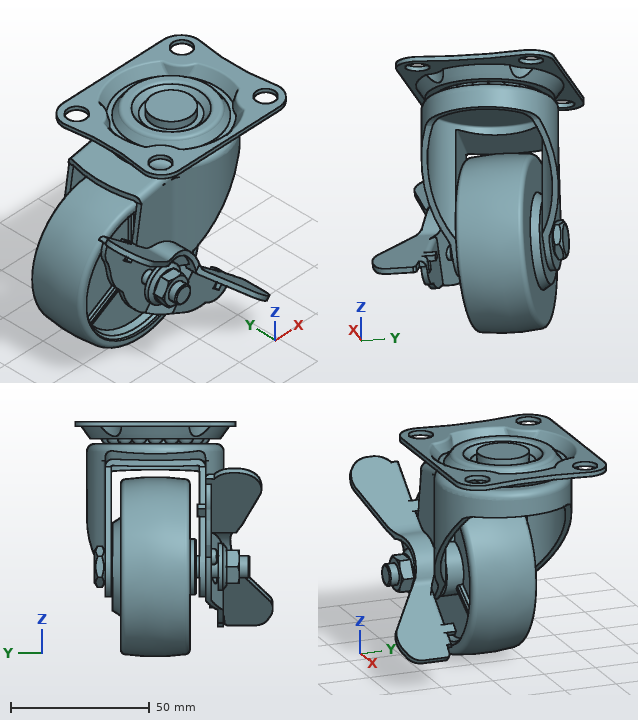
import cadquery as cq
import math


plate_length = 70.0
plate_width = 58.0
sheet = 1.7
plate_corner_radius = 8.8
plate_side_dip = 1.7
side_dip_half = 6.8
side_blend_radius = 19.3
bolt_hole_diameter = 8.9
bolt_pitch_x = 54.9
bolt_pitch_y = 42.0
dish_top_radius = 26.6
dish_floor_radius = 23.45
dish_depth = 4.5
dish_notch_radius = 10.8
dish_corner_radius = 1.4
dish_outer_radius = 26.7
dish_heel_radius = 24.6
dish_heel_height = 1.5
floor_opening_radius = 21.2
dish_rim_round = 1.1
notch_wall_slope = 0.25
notch_depth = 7.7

stud_radius = 9.5
stud_top = -0.4
cup_floor = -3.9
cup_floor_radius = 11.8
dome_top = -0.6
race_top = -2.6
race_inner_radius = 14.2
race_outer_radius = 20.0
ball_count = 18
ball_radius = 2.8
ball_circle_radius = 17.1
ball_height = -5.6

fork_top = -8.0
fork_wall = 2.2
cup_radius = 24.8
cup_lip_height = -17.2
fork_round = 2.9
leg_bend_radius = 4.6
leg_bend_top = -14.1
leg_half_width = 18.1
roof_angle = 10.6
roof_end_radius = 64.5
roof_end_x = -37.3
boss_radius = 10.9

axle_x = -29.0
axle_z = -52.5
wheel_radius = 32.5
tread_edge_radius = 31.75
tread_round = 1.9
wheel_half_width = 12.5
axle_radius = 4.1
hub_end = -14.9
hub_radius = 10.1
hub_round = 0.7
disc_face = -7.7
disc_radius = 26.15
collar_end = 15.5
collar_radius = 15.8
collar_foot_radius = 17.8
rib_count = 3
rib_width = 2.7
rib_top = -9.8
rib_bevel = 0.7
rib_overlap = 0.5
axle_end = -34.1
axle_tip_bevel = 0.5
head_across_corners = 15.0
head_outer = 22.0
head_bevel_depth = 1.7
head_bevel_height = 1.2
nut_across_corners = 13.9
nut_outer = -30.4
nut_bevel_depth = 0.9
nut_bevel_height = 0.5
washer_inner = -22.8
washer_rim = -24.4
washer_outer = -25.8
washer_radius = 8.5
washer_top_radius = 6.8

lever_angle = 38.5
lever_sheet = 2.1
flange_top = 9.8
flange_end = 44.8
bend_radius = 1.7
left_bend_middle = -28.95
right_bend_middle = 24.1
hump_radius = 14.8
left_foot_radius = 7.7
right_foot_radius = 3.9
step_start = 3.2
step_end = 12.8
step_height = 4.3
gusset_angle = 15.0
gusset_start = 5.5
gusset_rise = 6.0
gusset_foot = 2.3
dimple_radius = 2.9
dimple_height = 1.9
dimple_offset = 5.9
dimple_round = 1.2
left_tab_span = (-24.0, -19.4)
right_tab_span = (29.9, 33.5)
tab_reach = 2.9
window_bottom = 3.3
window_outer = -25.1

big = 115.8
leg_bottom = axle_z - 2 * boss_radius


def axle_plane(y):
    """Plane across the wheel axle at the given Y, facing -Y."""
    return cq.Plane(origin=(axle_x, y, axle_z), xDir=(1, 0, 0), normal=(0, -1, 0))


def turned(outline):
    """Revolve a closed (radius, height) outline about the Z axis."""
    return outline.close().revolve(360, (0, 0, 0), (0, 1, 0))


def about_axle(outline):
    """Revolve a closed (Y, radius) outline about Y and move it onto the wheel axle."""
    ring = outline.close().revolve(360, (0, 0, 0), (1, 0, 0))
    return ring.rotate((0, 0, 0), (0, 0, 1), 90).translate((axle_x, 0, axle_z))


def plate_blank():
    """Flat plate with large round corners and dipped short sides."""
    half_x = plate_length / 2
    half_y = plate_width / 2
    waist_x = half_x - plate_side_dip
    corner_y = half_y - plate_corner_radius
    corner_x = half_x - plate_corner_radius
    diagonal = plate_corner_radius * math.sqrt(0.5)

    right_side = (
        cq.Workplane("XY")
        .moveTo(0, -half_y)
        .lineTo(corner_x, -half_y)
        .threePointArc((corner_x + diagonal, -corner_y - diagonal), (half_x, -corner_y))
        .lineTo(waist_x, -side_dip_half)
        .lineTo(waist_x, side_dip_half)
        .lineTo(half_x, corner_y)
        .threePointArc((corner_x + diagonal, corner_y + diagonal), (corner_x, half_y))
        .lineTo(0, half_y)
        .close()
        .extrude(-sheet)
    )
    blend_box = cq.selectors.BoxSelector(
        (waist_x - 0.1, -half_y / 2, -sheet), (waist_x + 0.1, half_y / 2, 0)
    )
    right_side = right_side.edges("|Z").edges(blend_box).fillet(side_blend_radius)
    return right_side.union(right_side.mirror("YZ"))


def corner_posts(radius):
    """Vertical cylinders on the four bolt hole axes."""
    return (
        cq.Workplane("XY")
        .workplane(offset=-big / 2)
        .rect(bolt_pitch_x, bolt_pitch_y, forConstruction=True)
        .vertices()
        .circle(radius)
        .extrude(big)
    )


def notch_posts(inset):
    """Posts that widen downward and press notches into the dish around the bolt holes."""
    posts = cq.Workplane("XY")
    down = cq.Vector(0, 0, -1)
    top_radius = dish_notch_radius - inset
    bottom_radius = top_radius + notch_wall_slope * notch_depth
    for x in (-bolt_pitch_x / 2, bolt_pitch_x / 2):
        for y in (-bolt_pitch_y / 2, bolt_pitch_y / 2):
            post = cq.Solid.makeCone(top_radius, bottom_radius, notch_depth, cq.Vector(x, y, 0), down)
            posts = posts.add(post)
    return posts


def dish_void():
    """Hollow of the dish, with a rounded notch at each bolt hole."""
    void = turned(
        cq.Workplane("XZ")
        .moveTo(0, 0)
        .lineTo(dish_top_radius, 0)
        .lineTo(dish_floor_radius, -dish_depth)
        .lineTo(0, -dish_depth)
    )
    for post in notch_posts(0).vals():
        void = void.cut(cq.Workplane(post))

    middle_radius = (dish_top_radius + dish_floor_radius) / 2
    middle_notch = dish_notch_radius + notch_wall_slope * dish_depth / 2
    hole_distance = math.hypot(bolt_pitch_x, bolt_pitch_y) / 2
    hole_angle = math.atan2(bolt_pitch_y, bolt_pitch_x)
    spread = math.acos(
        (hole_distance ** 2 + middle_radius ** 2 - middle_notch ** 2) / (2 * hole_distance * middle_radius)
    )
    for diagonal in (hole_angle, math.pi - hole_angle, math.pi + hole_angle, -hole_angle):
        for angle in (diagonal - spread, diagonal + spread):
            corner = (middle_radius * math.cos(angle), middle_radius * math.sin(angle), -dish_depth / 2)
            void = void.edges(cq.selectors.NearestToPointSelector(corner)).fillet(dish_corner_radius)
    return void


def dish_shell():
    """Outside of the dish, below the flat plate."""
    bottom = -dish_depth - sheet
    shell = turned(
        cq.Workplane("XZ")
        .moveTo(0, -sheet)
        .lineTo(dish_outer_radius, -sheet)
        .lineTo(dish_heel_radius, bottom + dish_heel_height)
        .lineTo(dish_floor_radius, bottom)
        .lineTo(0, bottom)
    )
    for post in notch_posts(sheet).vals():
        shell = shell.cut(cq.Workplane(post))
    return shell


def bearing_dome():
    """Raised ring that covers the balls, with a cup around the stud."""
    dome_bottom = -dish_depth - sheet
    outer_foot = floor_opening_radius + 0.2
    return turned(
        cq.Workplane("XZ")
        .moveTo(stud_radius, cup_floor)
        .lineTo(cup_floor_radius, cup_floor)
        .lineTo(14.4, -1.4)
        .threePointArc((14.9, -0.9), (15.6, dome_top))
        .lineTo(17.5, dome_top)
        .threePointArc((18.6, -0.9), (19.3, -1.7))
        .lineTo(outer_foot, -dish_depth)
        .lineTo(outer_foot, dome_bottom)
        .lineTo(race_outer_radius, dome_bottom)
        .lineTo(race_outer_radius, -4.3)
        .lineTo(race_outer_radius - 1.4, race_top)
        .lineTo(race_inner_radius + 1.3, race_top)
        .lineTo(race_inner_radius, -4.4)
        .lineTo(race_inner_radius, -5.7)
        .lineTo(stud_radius, -5.7)
    )


def make_plate():
    opening = cq.Workplane("XY").circle(floor_opening_radius).extrude(-big)
    plate = plate_blank().union(dish_shell()).cut(dish_void())
    reach = dish_top_radius + 0.5
    rim = cq.selectors.BoxSelector((-reach, -reach, -0.1), (reach, reach, 0.1))
    plate = plate.edges(rim).fillet(dish_rim_round)
    plate = plate.cut(opening).union(bearing_dome())
    return plate.cut(corner_posts(bolt_hole_diameter / 2))


def cup_body(inset):
    """Round cup of the fork, shrunk by `inset` on its top and sides."""
    top = fork_top - inset
    cup = cq.Workplane("XY").workplane(offset=top).circle(cup_radius - inset).extrude(leg_bottom - top)
    return cup.faces(">Z").edges().fillet(max(fork_round - inset, 0.5))


def arm_body(inset):
    """Box with a sloping roof that spans both legs, shrunk by `inset`."""
    slope = math.tan(math.radians(roof_angle))
    drop = inset / math.cos(math.radians(roof_angle))
    front_x = -42.5
    back_x = -9.65
    roof_back = -8.8 - drop
    roof_front = roof_back - slope * (back_x - front_x)
    half_width = leg_half_width - inset
    arm = (
        cq.Workplane("XZ")
        .polyline([(front_x, roof_front), (back_x, roof_back), (back_x, leg_bottom), (front_x, leg_bottom)])
        .close()
        .extrude(half_width, both=True)
    )
    roof_edges = cq.selectors.BoxSelector(
        (front_x, -half_width - 1, roof_front - 1), (back_x, half_width + 1, roof_back + 1)
    )
    return arm.edges(roof_edges).edges("not |Y").edges("not |Z").fillet(max(fork_round - inset, 0.5))


def leg_bends():
    """Column whose rounded inner corners lead each flat leg into the round cup."""
    height = leg_bend_top - leg_bottom
    column = cq.Workplane("XY").workplane(offset=leg_bend_top).circle(cup_radius).extrude(-height)
    flat_part = cq.Workplane("XY").box(13.5, 2 * leg_half_width, height, centered=(False, True, False))
    column = column.union(flat_part.translate((-23.2, 0, leg_bottom)))
    bend_x = -math.sqrt(cup_radius ** 2 - leg_half_width ** 2)
    for side in (-1, 1):
        corner = (bend_x, side * leg_half_width, (leg_bend_top + leg_bottom) / 2)
        column = column.edges("|Z").edges(cq.selectors.NearestToPointSelector(corner)).fillet(leg_bend_radius)
    return column


def fork_side_outline():
    """Prism along Y that trims the fork to its side shape."""
    def on_boss(degrees):
        angle = math.radians(degrees)
        return (axle_x + boss_radius * math.cos(angle), axle_z + boss_radius * math.sin(angle))

    return (
        cq.Workplane("XZ")
        .moveTo(-42.5, fork_top)
        .lineTo(26.1, fork_top)
        .lineTo(26.1, cup_lip_height)
        .lineTo(17.9, -17.9)
        .threePointArc((15.3, -18.3), (13.0, -19.6))
        .lineTo(*on_boss(-40.3))
        .threePointArc(on_boss(-115), on_boss(171))
        .lineTo(-34.4, -16.4)
        .lineTo(-42.5, -16.4)
        .close()
        .extrude(big, both=True)
    )


def roof_end_trim():
    """Everything beyond the bowed front end of the roof."""
    roof_zone = cq.Workplane("XY").box(14.5, big, 9.65, centered=(False, True, False))
    roof_zone = roof_zone.translate((-43.4, 0, -16.4))
    bow = (
        cq.Workplane("XY")
        .workplane(offset=-big)
        .center(roof_end_x + roof_end_radius, 0)
        .circle(roof_end_radius)
        .extrude(big)
    )
    return roof_zone.cut(bow)


def make_fork():
    outside = cup_body(0).union(arm_body(0)).union(leg_bends())
    inside = cup_body(fork_wall).union(arm_body(fork_wall))
    fork = outside.cut(inside).intersect(fork_side_outline()).cut(roof_end_trim())

    stud_foot = fork_top - 1
    stud = cq.Workplane("XY").workplane(offset=stud_foot).circle(stud_radius).extrude(stud_top - stud_foot)
    fork = fork.union(stud)
    for i in range(ball_count):
        angle = 2 * math.pi * i / ball_count
        x = ball_circle_radius * math.cos(angle)
        y = ball_circle_radius * math.sin(angle)
        fork = fork.union(cq.Workplane("XY").sphere(ball_radius).translate((x, y, ball_height)))

    axle_hole = cq.Workplane(axle_plane(0)).circle(axle_radius).extrude(big, both=True)
    return fork.cut(axle_hole)


def make_wheel():
    side = wheel_half_width
    corner_y = tread_round - side
    corner_r = tread_edge_radius - tread_round
    diagonal = tread_round * math.sqrt(0.5)
    wheel = about_axle(
        cq.Workplane("XY")
        .moveTo(hub_end, axle_radius)
        .lineTo(hub_end, hub_radius - hub_round)
        .lineTo(hub_end + hub_round, hub_radius)
        .lineTo(disc_face, hub_radius)
        .lineTo(disc_face, disc_radius)
        .lineTo(-10.6, 27.0)
        .lineTo(-11.8, 28.0)
        .lineTo(-side, 28.3)
        .lineTo(-side, corner_r)
        .threePointArc((corner_y - diagonal, corner_r + diagonal), (corner_y, tread_edge_radius))
        .threePointArc((0, wheel_radius), (-corner_y, tread_edge_radius))
        .threePointArc((diagonal - corner_y, corner_r + diagonal), (side, corner_r))
        .lineTo(side, collar_foot_radius)
        .lineTo(collar_end, collar_radius)
        .lineTo(collar_end, axle_radius)
    )
    rib_length = disc_radius - hub_radius + 2 * rib_overlap
    rib_depth = disc_face - rib_top + 1
    rib = (
        cq.Workplane(axle_plane(disc_face + 1))
        .center(0, hub_radius - rib_overlap + rib_length / 2)
        .rect(rib_width, rib_length)
        .extrude(rib_depth)
        .edges("<Y and |Z")
        .chamfer(rib_bevel)
    )
    for i in range(rib_count):
        wheel = wheel.union(rib.rotate((axle_x, 0, axle_z), (axle_x, 1, axle_z), 360 * i / rib_count))
    return wheel


def bevel_cone(inner_y, outer_y, across_corners, depth, height):
    """Turned envelope that bevels a hexagon's corners at its outer end.

    The bevel takes `depth` off the radius over `height` of the length.
    """
    radius = across_corners / 2
    direction = math.copysign(1, outer_y - inner_y)
    return about_axle(
        cq.Workplane("XY")
        .moveTo(inner_y, 0)
        .lineTo(inner_y, radius)
        .lineTo(outer_y - direction * height, radius)
        .lineTo(outer_y, radius - depth)
        .lineTo(outer_y, 0)
    )


def make_axle_bolt():
    head_inner = leg_half_width
    head = (
        cq.Workplane(axle_plane(head_outer))
        .transformed(rotate=(0, 0, 90))
        .polygon(6, head_across_corners)
        .extrude(head_outer - head_inner)
    )
    for start, end in ((head_inner, head_outer), (head_outer, head_inner)):
        envelope = bevel_cone(start, end, head_across_corners, head_bevel_depth, head_bevel_height)
        head = head.intersect(envelope)
    shank = cq.Workplane(axle_plane(head_outer - 1)).circle(axle_radius).extrude(head_outer - 1 - axle_end)
    shank = shank.faces("<Y").chamfer(axle_tip_bevel)
    return head.union(shank)


def make_nut():
    washer = about_axle(
        cq.Workplane("XY")
        .moveTo(washer_inner, 0)
        .lineTo(washer_inner, washer_radius)
        .lineTo(washer_rim, washer_radius)
        .lineTo(washer_outer, washer_top_radius)
        .lineTo(washer_outer, 0)
    )
    hexagon = cq.Workplane(axle_plane(washer_inner)).polygon(6, nut_across_corners)
    hexagon = hexagon.extrude(washer_inner - nut_outer)
    envelope = bevel_cone(washer_inner, nut_outer, nut_across_corners, nut_bevel_depth, nut_bevel_height)
    bore = cq.Workplane(axle_plane(0)).circle(axle_radius).extrude(big)
    return washer.union(hexagon.intersect(envelope)).cut(bore)


web_inner = -leg_half_width
web_outer = web_inner - lever_sheet
flange_bottom = flange_top - lever_sheet


def lever_plane(y):
    """Tilted plane across the axle at the given Y, facing -Y."""
    tilt = math.radians(lever_angle)
    return cq.Plane(
        origin=(axle_x, y, axle_z), xDir=(math.cos(tilt), 0, -math.sin(tilt)), normal=(0, -1, 0)
    )


def handle_plane():
    """Plane of the handles through the axle: along the handles, then +Y."""
    frame = lever_plane(0)
    return cq.Plane(origin=(axle_x, 0, axle_z), xDir=frame.xDir.toTuple(), normal=frame.yDir.toTuple())


def lever_block(u_from, u_to, v_from, v_to, y_from, y_to):
    """Block in the lever frame that spans the given ranges, from y_from out to y_to."""
    return (
        cq.Workplane(lever_plane(y_from))
        .center((u_from + u_to) / 2, (v_from + v_to) / 2)
        .rect(u_to - u_from, v_to - v_from)
        .extrude(y_from - y_to)
    )


def stepped_prism(thickness):
    """Layer of the given thickness whose inner face steps outward between the bend lines."""
    inner = [
        (-big, web_inner), (step_start, web_inner),
        (step_end, web_inner - step_height), (big, web_inner - step_height),
    ]
    outer = [(u, y - thickness) for u, y in reversed(inner)]
    return cq.Workplane(handle_plane()).polyline(inner + outer).close().extrude(big, both=True)


def lever_web():
    """Upright sheet of the lever, with lobes at both ends and a belly around the axle."""
    outline = (
        cq.Workplane(lever_plane(0))
        .moveTo(-38.1, flange_top)
        .lineTo(-38.1, 7.3)
        .threePointArc((-36.5, 3.4), (-32.4, 0.6))
        .lineTo(-29.0, -1.8)
        .threePointArc((-25.5, -4.8), (-21.5, -6.9))
        .lineTo(-15.7, -8.0)
        .threePointArc((-2.4, -13.2), (12.7, -9.7))
        .lineTo(19.0, -8.3)
        .threePointArc((24.9, -6.0), (29.3, -2.4))
        .threePointArc((34.8, 0.1), (37.0, 6.0))
        .lineTo(37.9, flange_top)
        .close()
        .extrude(big)
    )
    hump = cq.Workplane(lever_plane(0)).circle(hump_radius).extrude(big)
    hump = hump.cut(lever_block(-big, big, -big, 0, 0, -big))
    return outline.union(hump).intersect(stepped_prism(lever_sheet))


def flange_band():
    """Bent strip of the two handles, with the hump over the nut, extruded along -Y."""
    strip = lever_block(-flange_end, flange_end, flange_bottom, flange_top, 0, -big / 2)
    hump = cq.Workplane(lever_plane(0)).circle(hump_radius).extrude(big / 2)
    hump = hump.cut(lever_block(-big, big, -big, flange_bottom, 0, -big / 2))
    hollow = cq.Workplane(lever_plane(0)).circle(hump_radius - lever_sheet).extrude(big / 2)
    band = strip.union(hump).cut(hollow)
    foot = math.sqrt(hump_radius ** 2 - flange_top ** 2)
    for side, foot_radius in ((-1, left_foot_radius), (1, right_foot_radius)):
        corner = lever_plane(-big / 4).toWorldCoords((side * foot, flange_top))
        band = band.edges(cq.selectors.NearestToPointSelector(corner.toTuple())).fillet(foot_radius)
    return band


def flange_outline():
    """Flat shape of the two handles, joined by the neck over the nut."""
    return (
        cq.Workplane(handle_plane())
        .moveTo(-41.5, web_inner)
        .lineTo(-41.2, -21.2)
        .threePointArc((-44.0, -24.3), (-44.8, -28.6))
        .threePointArc((-42.75, -35.0), (-37.25, -38.1))
        .threePointArc((-34.7, -38.4), (-32.2, -37.9))
        .lineTo(-14.3, -31.3)
        .threePointArc((-1.9, -27.3), (9.5, -28.2))
        .lineTo(30.0, -41.7)
        .threePointArc((35.2, -42.5), (39.9, -40.9))
        .threePointArc((43.0, -38.5), (43.9, -35.2))
        .lineTo(43.9, -26.1)
        .lineTo(43.0, -25.1)
        .lineTo(38.6, -24.7)
        .lineTo(38.6, web_inner)
        .close()
        .extrude(big)
    )


def lever_flange():
    """Handles and hump, kept on the outer side of the stepped web."""
    return flange_band().intersect(flange_outline()).intersect(stepped_prism(big))


def gusset():
    """Sloping web that stiffens the corner under the hump."""
    angle = math.radians(gusset_angle)
    toward_hump = cq.Plane(
        origin=(axle_x, 0, axle_z),
        xDir=(math.cos(angle), 0, math.sin(angle)),
        normal=(-math.sin(angle), 0, math.cos(angle)),
    )
    slope = (
        cq.Workplane(toward_hump)
        .polyline([
            (gusset_start, web_inner), (gusset_start, web_outer),
            (hump_radius, web_outer - gusset_rise), (hump_radius, web_inner),
        ])
        .close()
        .extrude(big, both=True)
    )
    corner = cq.Workplane(lever_plane(0)).circle(hump_radius - lever_sheet + 0.5).extrude(big / 2)
    below = cq.Workplane(axle_plane(0)).center(0, gusset_foot - big / 2).rect(big, big).extrude(big)
    return slope.intersect(corner).cut(below).intersect(stepped_prism(big))


def make_lever():
    lever = lever_web().union(lever_flange())
    for u, step in ((left_bend_middle, 0), (right_bend_middle, step_height)):
        back_edge = lever_plane(web_inner - step).toWorldCoords((u, flange_top))
        lever = lever.edges(cq.selectors.NearestToPointSelector(back_edge.toTuple())).fillet(bend_radius)
    lever = lever.union(gusset())
    for span, step in ((left_tab_span, 0), (right_tab_span, step_height)):
        tab_inner = web_inner - step + tab_reach
        tab_outer = web_outer - step
        lever = lever.cut(lever_block(*span, window_bottom, flange_bottom, 0, window_outer))
        lever = lever.union(lever_block(*span, flange_bottom, flange_top, tab_inner, tab_outer))
    for side in (-1, 1):
        dimple = (
            cq.Workplane(lever_plane(web_inner - 1))
            .center(side * dimple_offset, 0)
            .circle(dimple_radius)
            .extrude(lever_sheet - 1 + dimple_height)
            .faces("<Y")
            .edges()
            .fillet(dimple_round)
        )
        lever = lever.union(dimple)
    axle_hole = cq.Workplane(lever_plane(0)).circle(axle_radius).extrude(big)
    return lever.cut(axle_hole)


plate = make_plate()
fork = make_fork()
wheel = make_wheel()
axle_bolt = make_axle_bolt()
nut = make_nut()
lever = make_lever()

result = cq.Compound.makeCompound([
    plate.solids().val(),
    fork.solids().val(),
    wheel.solids().val(),
    axle_bolt.solids().val(),
    nut.solids().val(),
    lever.solids().val(),
])